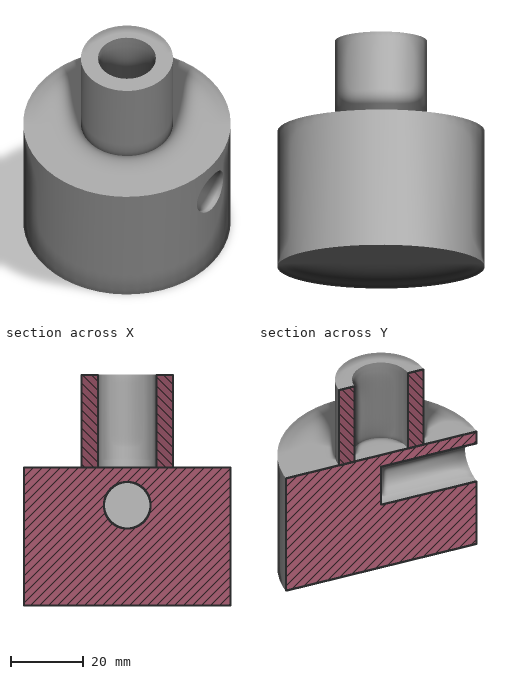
import cadquery as cq

HOUSING_DIAMETER = 57.15
HOUSING_HEIGHT = 38.1
SIDE_HOLE_DIAMETER = 12.7
SIDE_HOLE_HEIGHT = 27.6

TOTAL_HEIGHT = 63.5
SLEEVE_DIAMETER = 25.4
BORE_DIAMETER = 15.95
SLEEVE_HEIGHT = TOTAL_HEIGHT - HOUSING_HEIGHT


def make_housing():
    """Solid round block with a radial hole that runs from the axis out through the +X side."""
    block = cq.Workplane("XY").circle(HOUSING_DIAMETER / 2).extrude(HOUSING_HEIGHT)
    side_hole = (
        cq.Workplane("YZ")
        .center(0, SIDE_HOLE_HEIGHT)
        .circle(SIDE_HOLE_DIAMETER / 2)
        .extrude(HOUSING_DIAMETER / 2)
    )
    return block.cut(side_hole)


def make_sleeve():
    """Tube that rests on top of the housing, concentric with it."""
    return (
        cq.Workplane("XY")
        .workplane(offset=HOUSING_HEIGHT)
        .circle(SLEEVE_DIAMETER / 2)
        .circle(BORE_DIAMETER / 2)
        .extrude(SLEEVE_HEIGHT)
    )


housing = make_housing()
sleeve = make_sleeve()
result = cq.Compound.makeCompound([housing.val(), sleeve.val()])